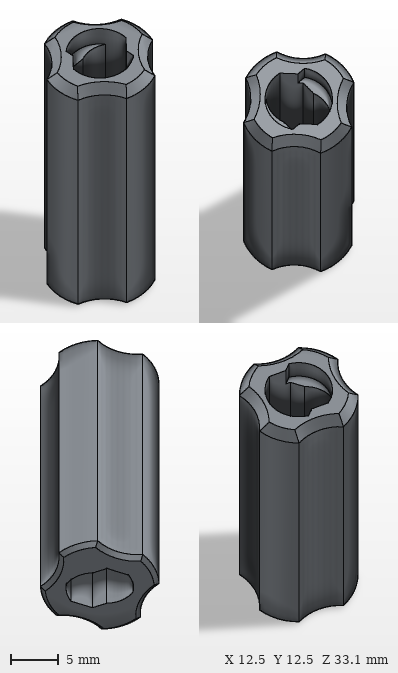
import cadquery as cq
import math

length = 33.12
bar_diameter = 12.5
bar_radius = bar_diameter / 2
scallop_radius = 5.4
scallop_depth = 1.2
scallop_count = 4
scallop_start_angle = 45
top_chamfer = 1.0
bottom_chamfer = 0.5

bore_radius = 3.55
lug_flat_distance = 2.85
lug_sum = lug_flat_distance * math.sqrt(2)
lug_shoulder = 2.15
entry_depth = 2.4

passage_flat_x = 2.25
bow_start_y = 0.15
bow_middle = (2.5, -0.85)
bow_end_x = 1.9


def half_turn(shape):
    """Rotate a shape by 180 degrees about the Z axis."""
    return shape.rotate((0, 0, 0), (0, 0, 1), 180)


def opposite(point):
    """The point reached from a given one by a half turn about the axis."""
    return (-point[0], -point[1])


def make_body():
    """Scalloped bar, chamfered all round at both ends."""
    body = cq.Workplane("XY").circle(bar_radius).extrude(length)
    scallop_distance = bar_radius - scallop_depth + scallop_radius
    scallops = (
        cq.Workplane("XY")
        .polarArray(scallop_distance, scallop_start_angle, 360, scallop_count)
        .circle(scallop_radius)
        .extrude(length)
    )
    body = body.cut(scallops)
    body = body.faces(">Z").chamfer(top_chamfer)
    return body.faces("<Z").chamfer(bottom_chamfer)


def make_entry():
    """Wide top of the bore, with a lug left standing on two sides."""
    lug = (
        cq.Workplane("XY")
        .moveTo(lug_sum - lug_shoulder, lug_shoulder)
        .lineTo(bore_radius, lug_shoulder)
        .lineTo(bore_radius, bore_radius)
        .lineTo(lug_sum - bore_radius, bore_radius)
        .close()
        .extrude(entry_depth)
    )
    entry = cq.Workplane("XY").circle(bore_radius).extrude(entry_depth)
    entry = entry.cut(lug).cut(half_turn(lug))
    return entry.translate((0, 0, length - entry_depth))


def make_passage():
    """Narrow passage through the full length, the same after a half turn."""
    flat_half_width = math.sqrt(bore_radius**2 - lug_flat_distance**2)
    lug_x = (lug_flat_distance - flat_half_width) / math.sqrt(2)
    lug_edge = (lug_x, lug_sum - lug_x)

    crown = (0, bore_radius)
    flat_top = (passage_flat_x, lug_sum - passage_flat_x)
    bow_start = (passage_flat_x, bow_start_y)
    bow_end = (bow_end_x, -math.sqrt(bore_radius**2 - bow_end_x**2))
    return (
        cq.Workplane("XY")
        .moveTo(*lug_edge)
        .lineTo(*flat_top)
        .lineTo(*bow_start)
        .threePointArc(bow_middle, bow_end)
        .threePointArc(opposite(crown), opposite(lug_edge))
        .lineTo(*opposite(flat_top))
        .lineTo(*opposite(bow_start))
        .threePointArc(opposite(bow_middle), opposite(bow_end))
        .threePointArc(crown, lug_edge)
        .close()
        .extrude(length)
    )


bore = make_entry().union(make_passage())
result = make_body().cut(bore)